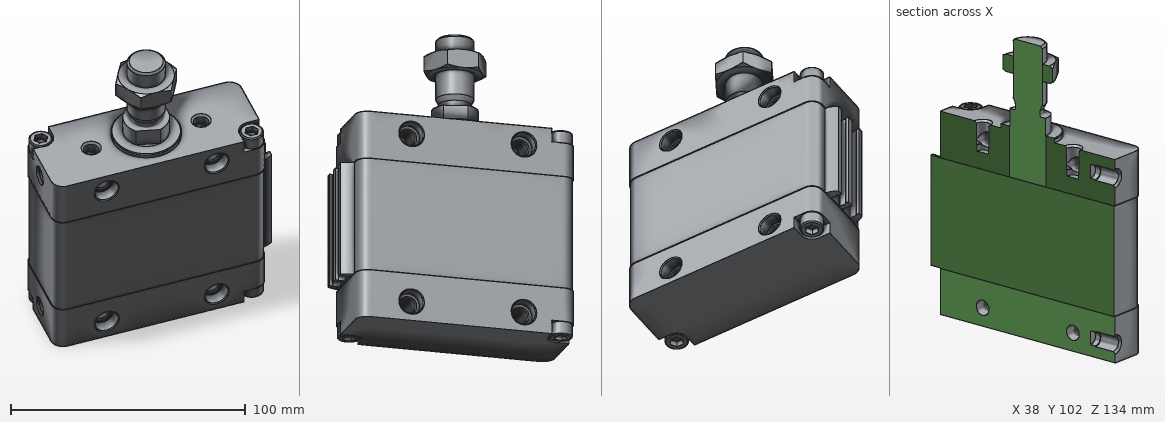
import cadquery as cq
import math


CAP_HEIGHT = 21.0
BARREL_LENGTH = 50.0
CAP_BASE = CAP_HEIGHT + BARREL_LENGTH
CAP_TOP = CAP_BASE + CAP_HEIGHT
COLLAR_TOP = CAP_TOP + 2.0
SHOULDER_TOP = 102.0
NECK_TOP = 104.8
THREAD_BASE = 107.2
NUT_BASE = 118.0
NUT_HEIGHT = 8.0
ROD_TOP = 134.0

CAP_X = 38.0
CAP_Y = 96.7
CORNER_RADIUS = 5.5
BARREL_INSET = 0.4

SCREW_X = CAP_X / 2 - CORNER_RADIUS
SCREW_Y = CAP_Y / 2 - CORNER_RADIUS
POCKET_DEPTH = 6.0
SCREW_HEAD_DIAMETER = 10.0
SCREW_HEAD_HEIGHT = 5.8
SCREW_HEAD_CHAMFER = 0.5
SOCKET_WIDTH = 5.2
SOCKET_POINT_DIAMETER = 5.0
SOCKET_DEPTH = 3.0

HOLE_SPACING = 50.0
PORT_INSET = 8.5
PORT_DIAMETER = 6.7
PORT_CHAMFER = 1.0
PORT_DEPTH = 10.7
PILOT_DIAMETER = 6.0
PILOT_DEPTH = 2.7
DRILL_DIAMETER = 6.7
DRILL_CHAMFER = 0.6
COUNTERBORE_DIAMETER = 10.5
COUNTERBORE_DEPTH = 5.6
COUNTERBORE_CHAMFER = 0.47
DRILL_POINT_ANGLE = 118.0

RAIL_TOP = 53.6
SLOT_FLOOR = 48.8
HOOK_BASE = 52.1
RAIL_TOP_HALF_WIDTH = 9.2
RAIL_MID_HALF_WIDTH = 10.3
RAIL_MID_Y = 51.7
RAIL_FOOT_HALF_WIDTH = 11.3
STEM_HALF_WIDTH = 1.1
RAIL_HEAD_HALF_WIDTH = 1.5
FOOT_HEIGHT = 0.4
SLOT_OUTER = 7.4
SLOT_OUTER_HOOK = 7.0

COLLAR_DIAMETER = 30.0
COLLAR_CHAMFER = 0.4
ROD_DIAMETER = 20.0
THREAD_DIAMETER = 16.3
THREAD_CHAMFER = 1.0
NECK_DIAMETER = 14.0
NECK_FILLET = 0.7
FLATS_WIDTH = 17.0
FLATS_ANGLE = -15.0
NUT_WIDTH = 24.0
NUT_CHAMFER_ANGLE = 25.0

HEX_HALF_ANGLE = 30.0


def cylinder(diameter, height, base):
    """Upright cylinder on the Z axis, starting at the given height."""
    return cq.Workplane("XY").workplane(offset=base).circle(diameter / 2).extrude(height)


def rounded_block(size_x, size_y, radius, base, height):
    """Upright block centred on the Z axis, with rounded vertical edges."""
    block = cq.Workplane("XY").workplane(offset=base).rect(size_x, size_y).extrude(height)
    return block.edges("|Z").fillet(radius)


def hole_tool(diameter, depth, chamfer):
    """Blind hole from the origin down -Z, with a countersunk mouth."""
    radius = diameter / 2
    profile = [
        (0, 0),
        (radius + chamfer, 0),
        (radius, -chamfer),
        (radius, -depth),
        (0, -depth),
    ]
    return cq.Workplane("XZ").polyline(profile).close().revolve(360, (0, 0, 0), (0, 1, 0))


def port_tool():
    """Blind port from the origin down -Z, ending in a slightly narrower pilot hole."""
    port = hole_tool(PORT_DIAMETER, PORT_DEPTH, PORT_CHAMFER)
    return port.union(cylinder(PILOT_DIAMETER, PORT_DEPTH + PILOT_DEPTH, -PORT_DEPTH - PILOT_DEPTH))


def cross_hole_tool():
    """Through hole along X, counterbored from both sides."""
    bore = hole_tool(COUNTERBORE_DIAMETER, COUNTERBORE_DEPTH, COUNTERBORE_CHAMFER)
    half_depth = CAP_X / 2 - COUNTERBORE_DEPTH
    drill = hole_tool(DRILL_DIAMETER, half_depth, DRILL_CHAMFER).translate((0, 0, -COUNTERBORE_DEPTH))
    half = bore.union(drill).translate((0, 0, CAP_X / 2))
    both = half.union(half.mirror("XY"))
    return both.rotate((0, 0, 0), (0, 1, 0), 90)


def corner_pocket():
    """Square recess at the +X +Y corner, rounded around the screw head, open at Z = 0."""
    radius = CORNER_RADIUS
    arc_offset = -radius * math.sqrt(0.5)
    pocket = (
        cq.Workplane("XY")
        .moveTo(-radius, 0)
        .lineTo(-radius, radius)
        .lineTo(radius, radius)
        .lineTo(radius, -radius)
        .lineTo(0, -radius)
        .threePointArc((arc_offset, arc_offset), (-radius, 0))
        .close()
        .extrude(-POCKET_DEPTH)
    )
    return pocket.translate((SCREW_X, SCREW_Y, 0))


def screw_head():
    """Socket head standing on the pocket floor at the +X +Y corner."""
    head = cylinder(SCREW_HEAD_DIAMETER, SCREW_HEAD_HEIGHT, -POCKET_DEPTH)
    head = head.faces(">Z").chamfer(SCREW_HEAD_CHAMFER)
    socket_floor = SCREW_HEAD_HEIGHT - POCKET_DEPTH - SOCKET_DEPTH
    socket = (
        cq.Workplane("XY")
        .workplane(offset=socket_floor)
        .polygon(6, SOCKET_WIDTH / math.cos(math.radians(HEX_HALF_ANGLE)))
        .extrude(SOCKET_DEPTH)
        .rotate((0, 0, 0), (0, 0, 1), HEX_HALF_ANGLE)
    )
    point_radius = SOCKET_POINT_DIAMETER / 2
    point_depth = point_radius / math.tan(math.radians(DRILL_POINT_ANGLE / 2))
    point_profile = [
        (0, socket_floor),
        (point_radius, socket_floor),
        (0, socket_floor - point_depth),
    ]
    point = cq.Workplane("XZ").polyline(point_profile).close().revolve(360, (0, 0, 0), (0, 1, 0))
    return head.cut(socket).cut(point).translate((SCREW_X, SCREW_Y, 0))


def end_cap():
    """Cap with its outer face at Z = 0 and its body below."""
    cap = rounded_block(CAP_X, CAP_Y, CORNER_RADIUS, -CAP_HEIGHT, CAP_HEIGHT)
    for side in (-1, 1):
        cap = cap.cut(cross_hole_tool().translate((0, side * HOLE_SPACING / 2, -PORT_INSET)))
    port = port_tool().rotate((0, 0, 0), (1, 0, 0), 90)
    cap = cap.cut(port.translate((0, -CAP_Y / 2, -PORT_INSET)))
    for angle in (0, 180):
        cap = cap.cut(corner_pocket().rotate((0, 0, 0), (0, 0, 1), angle))
        cap = cap.union(screw_head().rotate((0, 0, 0), (0, 0, 1), angle))
    return cap


def make_rear_cap():
    """Rear cap, with its outer face at Z = 0."""
    return end_cap().mirror("XY")


def make_front_cap():
    """Front cap with axial ports, a collar and the rod bore."""
    cap = end_cap().translate((0, 0, CAP_TOP))
    for side in (-1, 1):
        cap = cap.cut(port_tool().translate((0, side * HOLE_SPACING / 2, CAP_TOP)))
    collar = cylinder(COLLAR_DIAMETER, COLLAR_TOP - CAP_TOP, CAP_TOP)
    cap = cap.union(collar.faces(">Z").edges().chamfer(COLLAR_CHAMFER))
    return cap.cut(cylinder(ROD_DIAMETER, COLLAR_TOP - CAP_BASE, CAP_BASE))


def sensor_rails():
    """Three rails separated by two undercut slots."""
    foot_y = CAP_Y / 2 - CORNER_RADIUS
    face_y = CAP_Y / 2 - BARREL_INSET
    rails = (
        cq.Workplane("XY")
        .moveTo(-RAIL_FOOT_HALF_WIDTH, foot_y)
        .lineTo(RAIL_FOOT_HALF_WIDTH, foot_y)
        .lineTo(RAIL_FOOT_HALF_WIDTH, face_y)
        .threePointArc((RAIL_MID_HALF_WIDTH, RAIL_MID_Y), (RAIL_TOP_HALF_WIDTH, RAIL_TOP))
        .lineTo(-RAIL_TOP_HALF_WIDTH, RAIL_TOP)
        .threePointArc((-RAIL_MID_HALF_WIDTH, RAIL_MID_Y), (-RAIL_FOOT_HALF_WIDTH, face_y))
        .close()
        .extrude(BARREL_LENGTH)
    )
    slot_outline = [
        (RAIL_HEAD_HALF_WIDTH, RAIL_TOP),
        (RAIL_HEAD_HALF_WIDTH, HOOK_BASE),
        (STEM_HALF_WIDTH, HOOK_BASE),
        (STEM_HALF_WIDTH, SLOT_FLOOR + FOOT_HEIGHT),
        (RAIL_HEAD_HALF_WIDTH, SLOT_FLOOR),
        (SLOT_OUTER, SLOT_FLOOR),
        (SLOT_OUTER, HOOK_BASE),
        (SLOT_OUTER_HOOK, HOOK_BASE),
        (SLOT_OUTER_HOOK, RAIL_TOP),
    ]
    slot = cq.Workplane("XY").polyline(slot_outline).close().extrude(BARREL_LENGTH)
    return rails.cut(slot).cut(slot.mirror("YZ")).translate((0, 0, CAP_HEIGHT))


def make_barrel():
    """Barrel slightly smaller than the caps, carrying the sensor rails."""
    inset = 2 * BARREL_INSET
    radius = CORNER_RADIUS - BARREL_INSET
    barrel = rounded_block(CAP_X - inset, CAP_Y - inset, radius, CAP_HEIGHT, BARREL_LENGTH)
    return barrel.union(sensor_rails())


def make_rod():
    """Rod with two spanner flats, a filleted neck and a plain thread cylinder."""
    neck = NECK_DIAMETER / 2
    thread = THREAD_DIAMETER / 2
    arc_offset = NECK_FILLET * (1 - math.sqrt(0.5))
    rod = (
        cq.Workplane("XZ")
        .moveTo(0, CAP_BASE)
        .lineTo(ROD_DIAMETER / 2, CAP_BASE)
        .lineTo(ROD_DIAMETER / 2, SHOULDER_TOP)
        .lineTo(neck + NECK_FILLET, SHOULDER_TOP)
        .threePointArc(
            (neck + arc_offset, SHOULDER_TOP + arc_offset),
            (neck, SHOULDER_TOP + NECK_FILLET),
        )
        .lineTo(neck, NECK_TOP)
        .lineTo(thread, THREAD_BASE)
        .lineTo(thread, ROD_TOP - THREAD_CHAMFER)
        .lineTo(thread - THREAD_CHAMFER, ROD_TOP)
        .lineTo(0, ROD_TOP)
        .close()
        .revolve(360, (0, 0, 0), (0, 1, 0))
    )
    flats_height = SHOULDER_TOP - COLLAR_TOP
    flat_cut = (
        cylinder(2 * ROD_DIAMETER, flats_height, COLLAR_TOP)
        .cut(
            cq.Workplane("XY")
            .workplane(offset=COLLAR_TOP)
            .rect(FLATS_WIDTH, 2 * ROD_DIAMETER)
            .extrude(flats_height)
        )
        .rotate((0, 0, 0), (0, 0, 1), FLATS_ANGLE)
    )
    return rod.cut(flat_cut)


def make_nut():
    """Hexagon nut with two flats facing +X and -X and both faces chamfered."""
    corner_diameter = NUT_WIDTH / math.cos(math.radians(HEX_HALF_ANGLE))
    nut = (
        cq.Workplane("XY")
        .polygon(6, corner_diameter)
        .extrude(NUT_HEIGHT)
        .rotate((0, 0, 0), (0, 0, 1), HEX_HALF_ANGLE)
    )
    corner_run = (corner_diameter - NUT_WIDTH) / 2
    corner_drop = corner_run * math.tan(math.radians(NUT_CHAMFER_ANGLE))
    envelope = (
        cq.Workplane("XY")
        .circle(corner_diameter / 2)
        .extrude(NUT_HEIGHT)
        .edges()
        .chamfer(corner_drop, corner_run)
    )
    bore = cylinder(THREAD_DIAMETER, NUT_HEIGHT, 0)
    return nut.intersect(envelope).cut(bore).translate((0, 0, NUT_BASE))


rear_cap = make_rear_cap()
barrel = make_barrel()
front_cap = make_front_cap()
rod = make_rod()
nut = make_nut()

result = cq.Compound.makeCompound(
    [rear_cap.val(), barrel.val(), front_cap.val(), rod.val(), nut.val()]
)